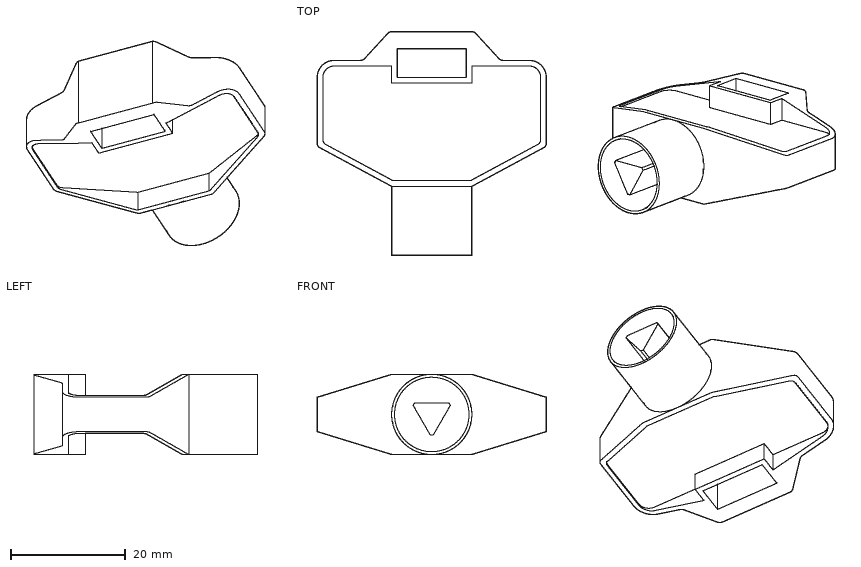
import cadquery as cq
import math

handle_width = 40.0
handle_thickness = 14.0
end_thickness = 6.0
shoulder_y = 22.0
side_start_y = 7.0
back_y = 27.0
neck_width = 14.0
back_slope_start_x = 7.4
back_slope_end_x = 12.0
edge_radius = 1.0
shoulder_radius = 3.0

wall = 1.0
web_half_thickness = 3.0

block_front_y = 18.0
slot_width = 12.0
slot_length = 5.0

tube_diameter = 14.0
bore_diameter = 13.0
tube_length = 12.0
pin_side = 7.0
pin_corner_chamfer = 0.5

half_width = handle_width / 2
half_neck = neck_width / 2
half_thickness = handle_thickness / 2
half_end = end_thickness / 2


def mirrored(right_side):
    """Close a right-hand chain of points with its mirror image across X = 0."""
    left_side = [(-x, y) for x, y in reversed(right_side)]
    return right_side + left_side


def vertical_edges_at(body, x, y):
    """Select the two vertical edges standing at (x, y) and (-x, y)."""
    tolerance = 0.01
    return body.edges("|Z").filter(
        lambda edge: abs(abs(edge.Center().x) - x) < tolerance and abs(edge.Center().y - y) < tolerance
    )


def make_plan():
    """Full-thickness handle outline with rounded corners."""
    right_side = [
        (half_neck, 0),
        (half_width, side_start_y),
        (half_width, shoulder_y),
        (back_slope_end_x, shoulder_y),
        (back_slope_start_x, back_y),
    ]
    plan = cq.Workplane("XY").polyline(mirrored(right_side)).close()
    plan = plan.extrude(half_thickness, both=True)
    for x, y in right_side:
        radius = shoulder_radius if (x, y) == (half_width, shoulder_y) else edge_radius
        plan = vertical_edges_at(plan, x, y).fillet(radius)
    return plan


def make_taper():
    """Hexagonal prism along Y that thins the handle towards its ends."""
    right_side = [(half_neck, -half_thickness), (half_width, -half_end),
                  (half_width, half_end), (half_neck, half_thickness)]
    taper = cq.Workplane("XZ").polyline(mirrored(right_side)).close()
    return taper.extrude(-back_y)


def make_recess():
    """Pocket above the web, one wall thickness inside the handle outline."""
    slope_angle = math.atan2(side_start_y, half_width - half_neck)
    inner_half_width = half_width - wall
    inner_front_x = half_neck - wall * math.tan(slope_angle / 2)
    inner_side_y = wall + (inner_half_width - inner_front_x) * math.tan(slope_angle)
    inner_shoulder_y = shoulder_y - wall
    right_side = [(inner_front_x, wall), (inner_half_width, inner_side_y), (inner_half_width, inner_shoulder_y)]
    recess = cq.Workplane("XY").workplane(offset=web_half_thickness).polyline(mirrored(right_side)).close()
    recess = recess.extrude(half_thickness - web_half_thickness)
    recess = vertical_edges_at(recess, inner_half_width, inner_side_y).fillet(edge_radius)
    return vertical_edges_at(recess, inner_half_width, inner_shoulder_y).fillet(shoulder_radius - wall)


def make_block():
    """Full-thickness block around the strap slot."""
    block = cq.Workplane("XY").box(neck_width, back_y - block_front_y, handle_thickness,
                                   centered=(True, False, True))
    return block.translate((0, block_front_y, 0))


def make_slot():
    slot = cq.Workplane("XY").box(slot_width, slot_length, handle_thickness, centered=(True, False, True))
    return slot.translate((0, block_front_y + wall, 0))


def make_tube():
    """Thin tube running from the front of the handle towards -Y."""
    return cq.Workplane("XZ").circle(tube_diameter / 2).circle(bore_diameter / 2).extrude(tube_length)


def make_pin():
    """Equilateral driver pin, flat side up, corners cut off, flush with the mouth of the tube."""
    half_side = pin_side / 2
    inradius = half_side / math.sqrt(3)
    corners = [(-half_side, inradius), (half_side, inradius), (0, -2 * inradius)]
    pin = cq.Workplane("XZ").polyline(corners).close().extrude(tube_length)
    return pin.edges("|Y").chamfer(pin_corner_chamfer)


upper_recess = make_recess()
lower_recess = upper_recess.mirror("XY")

handle = make_plan().intersect(make_taper())
handle = handle.cut(upper_recess).cut(lower_recess)
handle = handle.union(make_block()).cut(make_slot())
result = handle.union(make_tube()).union(make_pin())